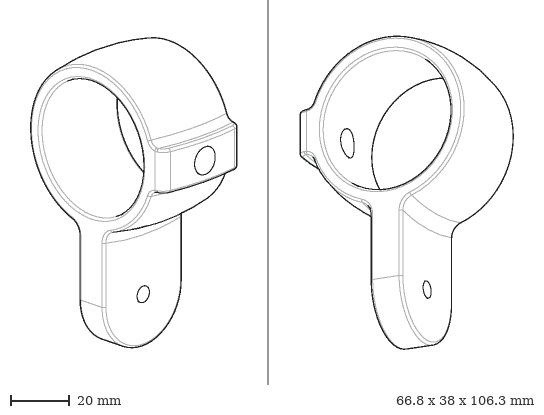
import cadquery as cq
import math

width = 38.0
crown_radius = 31.3
end_radius = 29.3
bore_radius = 24.5
total_height = 106.3
tab_thickness = 12.0
tab_hole_diameter = 6.0
lug_reach = 35.5
lug_height = 15.9
lug_corner_radius = 4.0
lug_hole_diameter = 10.0
tab_blend_radius = 5.0
lug_blend_radius = 3.4
edge_radius = 1.0

half_width = width / 2
crown_drop = crown_radius - end_radius
tab_center_z = crown_radius - total_height + half_width


def make_barrel():
    """Solid of revolution about Y with a gently crowned outside."""
    return (
        cq.Workplane("XY")
        .moveTo(0, -half_width)
        .lineTo(end_radius, -half_width)
        .threePointArc((crown_radius, 0), (end_radius, half_width))
        .lineTo(0, half_width)
        .close()
        .revolve(360, (0, 0, 0), (0, 1, 0))
    )


def make_tab():
    """Flat hanging tab with a semicircular lower end."""
    return (
        cq.Workplane("YZ")
        .moveTo(-half_width, 0)
        .lineTo(-half_width, tab_center_z)
        .threePointArc((0, tab_center_z - half_width), (half_width, tab_center_z))
        .lineTo(half_width, 0)
        .close()
        .extrude(tab_thickness / 2, both=True)
    )


def make_lug():
    """Side pad whose outer face follows the ring crown."""
    lug_end = lug_reach - crown_drop
    return (
        cq.Workplane("XY")
        .moveTo(0, -half_width)
        .lineTo(lug_end, -half_width)
        .threePointArc((lug_reach, 0), (lug_end, half_width))
        .lineTo(0, half_width)
        .close()
        .extrude(lug_height / 2, both=True)
        .edges("|Z")
        .edges(">X")
        .fillet(lug_corner_radius)
    )


def blend_joints(body):
    """Round the four concave seams where the tab and lug leave the ring."""
    lug_seam_x = math.sqrt(crown_radius**2 - (lug_height / 2) ** 2)
    tab_seam_z = math.sqrt(crown_radius**2 - (tab_thickness / 2) ** 2)
    seams = [
        ((lug_seam_x, 0, lug_height / 2), lug_blend_radius),
        ((lug_seam_x, 0, -lug_height / 2), lug_blend_radius),
        ((tab_thickness / 2, 0, -tab_seam_z), tab_blend_radius),
        ((-tab_thickness / 2, 0, -tab_seam_z), tab_blend_radius),
    ]
    for point, radius in seams:
        body = body.edges(cq.selectors.NearestToPointSelector(point)).fillet(radius)
    return body


body = blend_joints(make_barrel().union(make_tab()).union(make_lug()))

bore = cq.Workplane("XZ").circle(bore_radius).extrude(half_width, both=True)
body = body.cut(bore)
body = body.faces("<Y or >Y").edges().fillet(edge_radius)

tab_hole = (
    cq.Workplane("YZ")
    .center(0, tab_center_z)
    .circle(tab_hole_diameter / 2)
    .extrude(tab_thickness, both=True)
)
lug_hole = cq.Workplane("YZ").circle(lug_hole_diameter / 2).extrude(2 * lug_reach)

result = body.cut(tab_hole).cut(lug_hole)